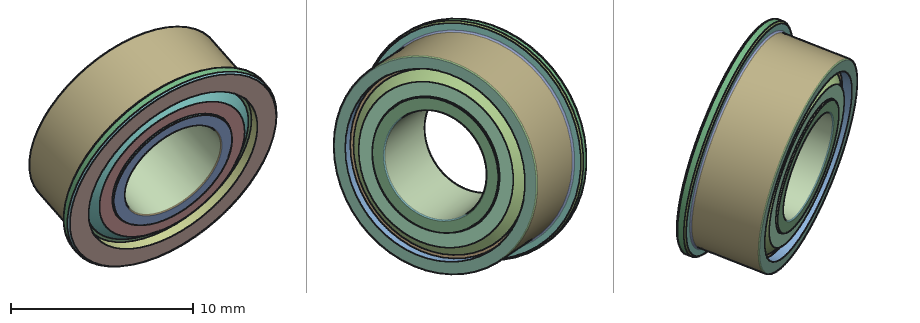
import cadquery as cq


width = 4.76
bore_diameter = 6.35
body_diameter = 12.7
flange_diameter = 13.89
flange_thickness = 0.58

recess_diameter = 11.2
recess_depth = 0.58
shield_base_diameter = 10.79
shield_face_diameter = 9.63
shield_face_depth = 0.1

gap_outer_diameter = 7.93
gap_inner_diameter = 7.85
gap_depth = recess_depth

body_edge_radius = 0.06
flange_root_radius = 0.1
flange_chamfer = 0.104
bore_edge_radius = body_edge_radius


def cylinder(diameter, start, length):
    """Solid cylinder about the X axis."""
    return cq.Workplane("YZ", origin=(start, 0, 0)).circle(diameter / 2).extrude(length)


def edges_by_size(rank):
    """Selector for the circular edges of the given rank when sorted by radius."""
    return cq.selectors.RadiusNthSelector(rank)


def make_rings():
    """Bored body and flange with their edge treatments."""
    body = cylinder(body_diameter, 0, width)
    flange = cylinder(flange_diameter, width - flange_thickness, flange_thickness)
    rings = body.union(flange).cut(cylinder(bore_diameter, 0, width))
    rings = rings.edges(edges_by_size(0)).fillet(bore_edge_radius)
    rings = rings.edges(edges_by_size(-2)).edges("<X").fillet(body_edge_radius)
    rings = rings.edges(edges_by_size(-2)).edges(">X").fillet(flange_root_radius)
    return rings.edges(edges_by_size(-1)).chamfer(flange_chamfer)


def make_end_recess():
    """Material removed at the X = 0 end, around the inner ring and the conical shield."""
    section = [
        (0, gap_inner_diameter / 2),
        (gap_depth, gap_inner_diameter / 2),
        (gap_depth, gap_outer_diameter / 2),
        (shield_face_depth, gap_outer_diameter / 2),
        (shield_face_depth, shield_face_diameter / 2),
        (recess_depth, shield_base_diameter / 2),
        (recess_depth, recess_diameter / 2),
        (0, recess_diameter / 2),
    ]
    return cq.Workplane("XY").polyline(section).close().revolve(360, (0, 0, 0), (1, 0, 0))


near_recess = make_end_recess()
far_recess = near_recess.mirror("YZ").translate((width, 0, 0))

result = make_rings().cut(near_recess).cut(far_recess)